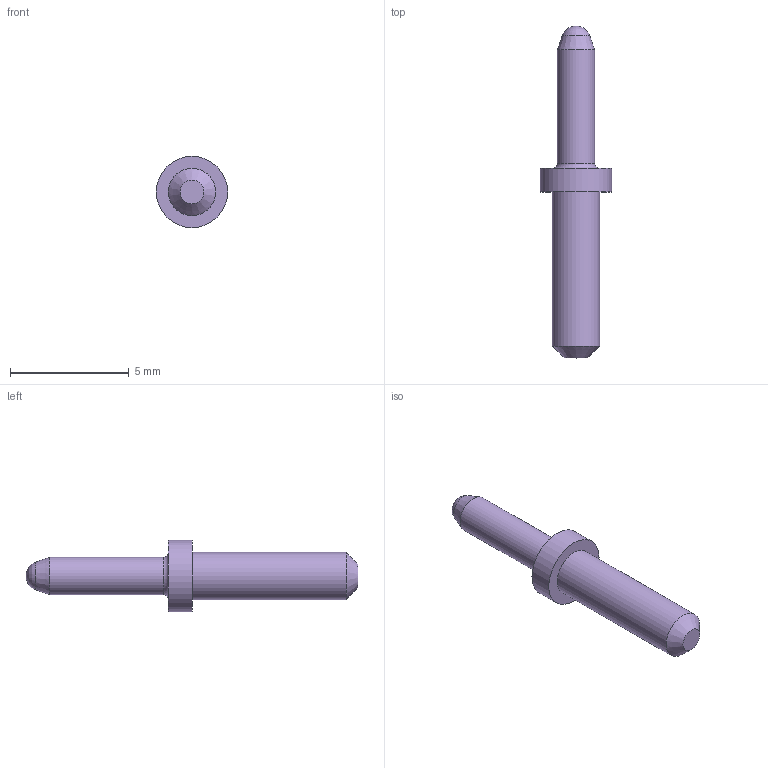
import cadquery as cq
import math


tail_radius = 1.0
tail_length = 7.0
tail_chamfer = 0.5

flange_radius = 1.5
flange_thickness = 1.0

pin_radius = 0.79
pin_length = 6.0
root_fillet = 0.2

nose_length = 1.0
nose_half_angle = math.radians(19)
tip_round = 0.6

tail_end = -tail_length
pin_root = flange_thickness
pin_end = pin_root + pin_length
nose_start = pin_end - nose_length

round_start = pin_end - tip_round * (1 - math.sin(nose_half_angle))
round_start_radius = pin_radius - (round_start - nose_start) * math.tan(nose_half_angle)

tip_flat_radius = round_start_radius - tip_round * math.cos(nose_half_angle)

mid_angle = (nose_half_angle + math.pi / 2) / 2
round_middle_radius = tip_flat_radius + tip_round * math.cos(mid_angle)
round_middle = pin_end - tip_round * (1 - math.sin(mid_angle))

fillet_middle_offset = root_fillet * (1 - math.sqrt(0.5))


def half_profile():
    """Closed outline of the half above the axis: first coordinate along Y, second the radius in Z."""
    return (
        cq.Workplane("YZ")
        .moveTo(tail_end, 0)
        .lineTo(tail_end, tail_radius - tail_chamfer)
        .lineTo(tail_end + tail_chamfer, tail_radius)
        .lineTo(0, tail_radius)
        .lineTo(0, flange_radius)
        .lineTo(pin_root, flange_radius)
        .lineTo(pin_root, pin_radius + root_fillet)
        .threePointArc(
            (pin_root + fillet_middle_offset, pin_radius + fillet_middle_offset),
            (pin_root + root_fillet, pin_radius),
        )
        .lineTo(nose_start, pin_radius)
        .lineTo(round_start, round_start_radius)
        .threePointArc((round_middle, round_middle_radius), (pin_end, tip_flat_radius))
        .lineTo(pin_end, 0)
        .close()
    )


result = half_profile().revolve(360, (0, 0), (1, 0))